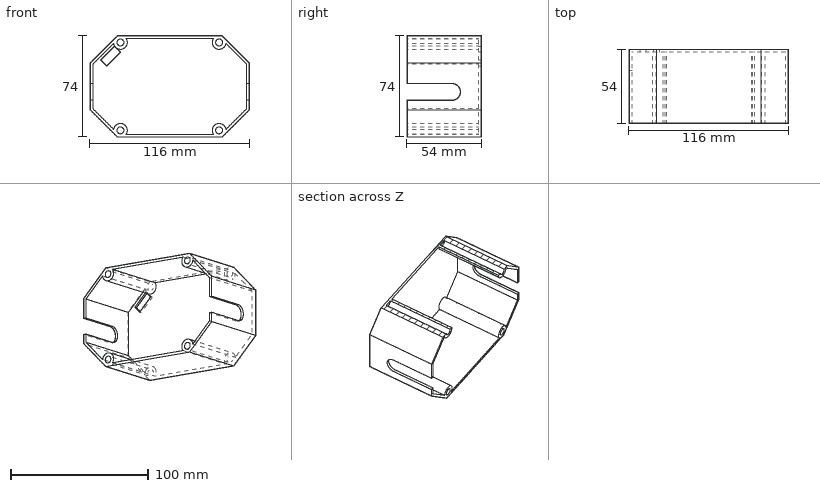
import cadquery as cq
import math

LENGTH = 116.0
DEPTH = 54.0
HEIGHT = 74.0
CORNER_CUT = 20.0
WALL = 2.0
FLOOR = 2.0

POST_RADIUS = 5.0
POST_HOLE_RADIUS = 2.5
POST_Z = HEIGHT / 2 - POST_RADIUS
POST_X = LENGTH / 2 - CORNER_CUT - POST_RADIUS * (math.sqrt(2) - 1)

SLOT_WIDTH = 12.0
SLOT_DEPTH = 38.7
SLOT_Z = -4.0

WINDOW_LENGTH = 14.0
WINDOW_WIDTH = 6.0
WINDOW_ANGLE = 45.0
WINDOW_INSET = 14.95

RIM_Y = -DEPTH / 2
FLOOR_Y = DEPTH / 2
INNER_FLOOR_Y = FLOOR_Y - FLOOR


def plane_at(y):
    """XZ plane at the given Y whose extrusions run toward -Y."""
    return cq.Workplane("XZ", origin=(0, y, 0))


def octagon_outline(y):
    """Rectangle with its four corners cut at 45 degrees."""
    half_x = LENGTH / 2
    half_z = HEIGHT / 2
    flat_x = half_x - CORNER_CUT
    flat_z = half_z - CORNER_CUT
    points = [
        (half_x, -flat_z),
        (half_x, flat_z),
        (flat_x, half_z),
        (-flat_x, half_z),
        (-half_x, flat_z),
        (-half_x, -flat_z),
        (-flat_x, -half_z),
        (flat_x, -half_z),
    ]
    return plane_at(y).polyline(points).close()


def make_shell():
    outer = octagon_outline(FLOOR_Y).extrude(DEPTH)
    cavity = octagon_outline(INNER_FLOOR_Y).offset2D(-WALL, "intersection").extrude(DEPTH - FLOOR)
    return outer.cut(cavity)


def cylinders_at_posts(radius):
    """Cylinders from the inner floor to the rim at all four post positions."""
    centres = [(x, z) for x in (-POST_X, POST_X) for z in (-POST_Z, POST_Z)]
    return plane_at(INNER_FLOOR_Y).pushPoints(centres).circle(radius).extrude(DEPTH - FLOOR)


def make_cable_slots():
    """One cutter along X that opens both end walls."""
    half_width = SLOT_WIDTH / 2
    end_y = RIM_Y + SLOT_DEPTH
    arc_start_y = end_y - half_width
    return (
        cq.Workplane("YZ", origin=(-LENGTH / 2, 0, SLOT_Z))
        .moveTo(RIM_Y, -half_width)
        .lineTo(arc_start_y, -half_width)
        .threePointArc((end_y, 0), (arc_start_y, half_width))
        .lineTo(RIM_Y, half_width)
        .close()
        .extrude(LENGTH)
    )


def make_window():
    centre_x = -LENGTH / 2 + WINDOW_INSET
    centre_z = HEIGHT / 2 - WINDOW_INSET
    return (
        plane_at(FLOOR_Y)
        .center(centre_x, centre_z)
        .transformed(rotate=(0, 0, WINDOW_ANGLE))
        .rect(WINDOW_LENGTH, WINDOW_WIDTH)
        .extrude(FLOOR)
    )


result = (
    make_shell()
    .cut(make_cable_slots())
    .union(cylinders_at_posts(POST_RADIUS))
    .cut(cylinders_at_posts(POST_HOLE_RADIUS))
    .cut(make_window())
)